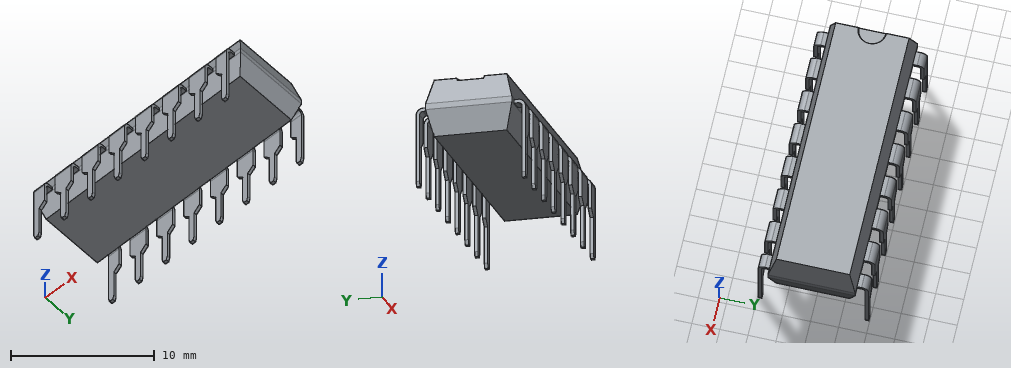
import cadquery as cq
import math

body_length = 19.4
body_width = 6.23
band_height = 0.43
block_height = 1.86
draft_angle = 15.0

notch_radius = 1.0
notch_depth = 0.2
notch_draft_angle = 20.0

leads_per_side = 8
lead_pitch = 2.55
lead_span = 7.88
lead_thickness = 0.25
bend_radius = 0.5
shoulder_width = 1.51
shank_width = 0.5
tip_inset = 0.1
tip_height = 0.35

total_height = 7.66
body_bottom = total_height - 2 * block_height - band_height
band_bottom = body_bottom + block_height
band_top = band_bottom + band_height
lead_top = band_bottom + (band_height + lead_thickness) / 2
shoulder_bottom = body_bottom
shank_top = shoulder_bottom - (shoulder_width - shank_width) / 2

top_face_inset = block_height * math.tan(math.radians(draft_angle))


def drafted_block(base_z, direction):
    """Block that narrows from the band, upward (+1) or downward (-1)."""
    plane = cq.Plane(origin=(0, 0, base_z), xDir=(1, 0, 0), normal=(0, 0, direction))
    return cq.Workplane(plane).rect(body_length, body_width).extrude(block_height, taper=draft_angle)


def make_body():
    band = cq.Workplane("XY", origin=(0, 0, band_bottom)).rect(body_length, body_width).extrude(band_height)
    return band.union(drafted_block(band_top, 1)).union(drafted_block(band_bottom, -1))


def make_notch():
    """Drafted round recess centred on the -X edge of the top face."""
    edge_x = -body_length / 2 + top_face_inset
    top_plane = cq.Workplane("XY", origin=(edge_x, 0, total_height))
    return top_plane.circle(notch_radius).extrude(-notch_depth, taper=notch_draft_angle)


def bent_strip():
    """Strip running out of the -Y side of the body and bending down, as wide as the body is long."""
    outer_y = -lead_span / 2
    inner_y = outer_y + lead_thickness
    body_y = -body_width / 2
    bend_y = outer_y + bend_radius
    bend_z = lead_top - bend_radius
    inner_radius = bend_radius - lead_thickness
    diagonal = math.sqrt(0.5)
    return (
        cq.Workplane("YZ")
        .moveTo(body_y, lead_top)
        .lineTo(bend_y, lead_top)
        .threePointArc((bend_y - bend_radius * diagonal, bend_z + bend_radius * diagonal), (outer_y, bend_z))
        .lineTo(outer_y, 0)
        .lineTo(inner_y, 0)
        .lineTo(inner_y, bend_z)
        .threePointArc(
            (bend_y - inner_radius * diagonal, bend_z + inner_radius * diagonal),
            (bend_y, bend_z + inner_radius),
        )
        .lineTo(body_y, bend_z + inner_radius)
        .close()
        .extrude(body_length / 2, both=True)
    )


def lead_outline(center_x, left_reach, right_reach):
    """Front outline of one lead; each reach is the shoulder's half width on that side."""
    half_shank = shank_width / 2
    half_tip = half_shank - tip_inset
    points = [(-half_tip, 0), (-half_shank, tip_height), (-half_shank, shank_top)]
    if left_reach > half_shank:
        points.append((-left_reach, shoulder_bottom))
    points.append((-left_reach, lead_top))
    points.append((right_reach, lead_top))
    if right_reach > half_shank:
        points.append((right_reach, shoulder_bottom))
    points += [(half_shank, shank_top), (half_shank, tip_height), (half_tip, 0)]
    plane = cq.Workplane("XZ", origin=(center_x, 0, 0))
    return plane.polyline(points).close().extrude(lead_span / 2)


def make_lead_row():
    """Leads on the -Y side; the end leads have no shoulder on their outer side."""
    outlines = cq.Workplane("XY")
    for index in range(leads_per_side):
        center_x = (index - (leads_per_side - 1) / 2) * lead_pitch
        left_reach = shank_width / 2 if index == 0 else shoulder_width / 2
        right_reach = shank_width / 2 if index == leads_per_side - 1 else shoulder_width / 2
        outlines = outlines.add(lead_outline(center_x, left_reach, right_reach))
    return bent_strip().intersect(outlines.combine())


front_leads = make_lead_row()
back_leads = front_leads.mirror("XZ")
result = make_body().cut(make_notch()).union(front_leads).union(back_leads)